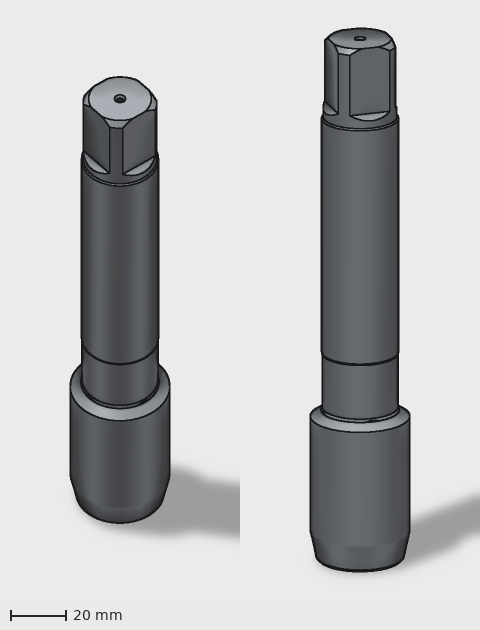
import cadquery as cq

head_diameter = 36.2
head_tip_diameter = 32.0
head_taper_top = 11.2
tip_chamfer = 1.0
tip_cone_height = 0.5
shoulder_bottom = 55.0
head_top = 57.5
head_top_diameter = 28.5

total_length = 200.0
neck_diameter = 27.5
end_diameter = 26.8
neck_flare_diameter = head_top_diameter
neck_flare_top = 58.5
shank_diameter = 28.0
shank_bottom = 79.2
shank_top = 170.0
shank_chamfer = (shank_diameter - end_diameter) / 2

square_width = 22.0
square_bottom = 174.8
runout_slope = 0.83
end_chamfer = 2.0
center_hole_diameter = 2.5
center_hole_depth = 4.0
countersink_diameter = 4.0
countersink_depth = (countersink_diameter - center_hole_diameter) / 2


def revolve_profile(points):
    """Revolve an (r, z) outline about the Z axis."""
    return cq.Workplane("XZ").polyline(points).close().revolve(360, (0, 0), (0, 1))


def make_head():
    radius = head_diameter / 2
    tip_radius = head_tip_diameter / 2
    return revolve_profile([
        (0, 0),
        (tip_radius - tip_chamfer, tip_cone_height),
        (tip_radius, tip_cone_height + tip_chamfer),
        (radius, head_taper_top),
        (radius, shoulder_bottom),
        (head_top_diameter / 2, head_top),
        (0, head_top),
    ])


def make_shank_blank():
    neck_radius = neck_diameter / 2
    end_radius = end_diameter / 2
    shank_radius = shank_diameter / 2
    return revolve_profile([
        (0, head_top),
        (neck_flare_diameter / 2, head_top),
        (neck_radius, neck_flare_top),
        (neck_radius, shank_bottom),
        (shank_radius, shank_bottom + shank_chamfer),
        (shank_radius, shank_top - shank_chamfer),
        (end_radius, shank_top),
        (end_radius, total_length - end_chamfer),
        (end_radius - end_chamfer, total_length),
        (0, total_length),
    ])


def make_square_envelope():
    """Square prism that widens below the flats to clear the shank."""
    prism = cq.Workplane("XY").workplane(offset=square_bottom).rect(square_width, square_width)
    prism = prism.extrude(total_length - square_bottom)
    runout_height = runout_slope * (shank_diameter - square_width) / 2
    runout_bottom = square_bottom - runout_height
    runout = (
        cq.Workplane("XY").workplane(offset=runout_bottom).rect(shank_diameter, shank_diameter)
        .workplane(offset=runout_height).rect(square_width, square_width).loft(ruled=True)
    )
    base = cq.Workplane("XY").rect(shank_diameter, shank_diameter).extrude(runout_bottom)
    return base.union(runout).union(prism)


def make_center_hole():
    hole_radius = center_hole_diameter / 2
    hole_bottom = total_length - center_hole_depth
    return revolve_profile([
        (0, hole_bottom),
        (hole_radius, hole_bottom),
        (hole_radius, total_length - countersink_depth),
        (countersink_diameter / 2, total_length),
        (0, total_length),
    ])


def make_shank():
    return make_shank_blank().intersect(make_square_envelope()).cut(make_center_hole())


head = make_head()
shank = make_shank()

result = cq.Compound.makeCompound([head.val(), shank.val()])